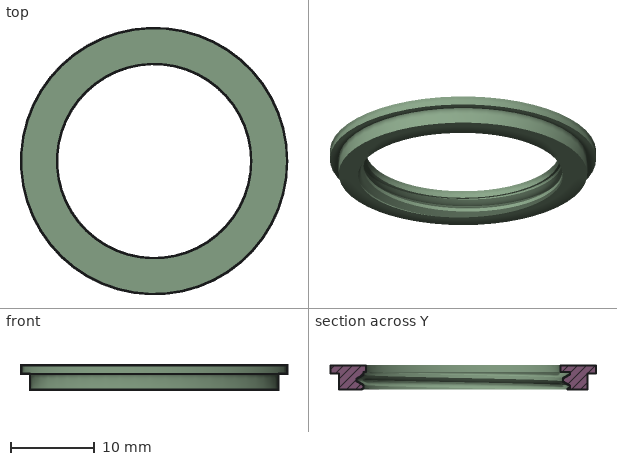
import cadquery as cq
import math

flange_diameter = 31.72
body_diameter = 29.63
lip_bore_diameter = 23.1
thread_root_diameter = 25.4
total_height = 2.95
flange_thickness = 1.05
lip_thickness = 0.85

thread_pitch = 1.6
crest_width = thread_pitch / 4
root_width = thread_pitch / 8
thread_depth = 5 / 8 * thread_pitch * math.cos(math.radians(30))
flank_slope = math.tan(math.radians(30))
thread_phase = 45.0
bore_overlap = 0.1

lip_underside = total_height - lip_thickness
root_radius = thread_root_diameter / 2
crest_radius = root_radius - thread_depth


def ring(outer_diameter, inner_diameter, bottom, height):
    """Plain ring standing on the given level."""
    return (
        cq.Workplane("XY", origin=(0, 0, bottom))
        .circle(outer_diameter / 2)
        .circle(inner_diameter / 2)
        .extrude(height)
    )


def stepped_ring():
    """Flange above a narrower body, with the thread's crest bore below the inner lip."""
    body_height = total_height - flange_thickness
    body = ring(body_diameter, lip_bore_diameter, 0, body_height)
    flange = ring(flange_diameter, lip_bore_diameter, body_height, flange_thickness)
    bore = cq.Workplane("XY").circle(crest_radius).extrude(lip_underside)
    return body.union(flange).cut(bore)


def thread_groove():
    """Helical groove cutter, trimmed to the space between bottom face and lip."""
    start_level = -1.5 * thread_pitch - crest_width / 2
    helix_height = lip_underside + 3 * thread_pitch
    inner_radius = crest_radius - bore_overlap
    inner_half_width = root_width / 2 + (root_radius - inner_radius) * flank_slope
    profile = cq.Workplane("XZ").polyline([
        (inner_radius, start_level - inner_half_width),
        (root_radius, start_level - root_width / 2),
        (root_radius, start_level + root_width / 2),
        (inner_radius, start_level + inner_half_width),
    ]).close()
    helix_start = cq.Vector(0, 0, start_level)
    path = cq.Wire.makeHelix(thread_pitch, helix_height, root_radius, center=helix_start)
    groove = profile.sweep(cq.Workplane(path), isFrenet=True)
    groove = groove.rotate((0, 0, 0), (0, 0, 1), thread_phase)
    trim = cq.Workplane("XY").circle(body_diameter / 2).extrude(lip_underside)
    return groove.intersect(trim)


result = stepped_ring().cut(thread_groove())